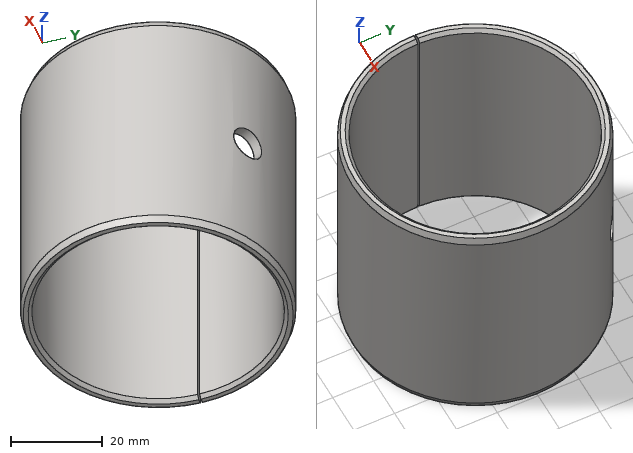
import cadquery as cq
import math

outer_diameter = 60.0
length = 60.0
wall = 2.5
inner_diameter = outer_diameter - 2 * wall

outer_chamfer_depth = 0.6
outer_chamfer_length = 1.7
inner_chamfer = 0.85

slit_width = 0.5
slit_offset = 0.3

oil_hole_diameter = 8.0
oil_hole_angle = 59.0

outer_radius = outer_diameter / 2
inner_radius = inner_diameter / 2
half_length = length / 2


def make_sleeve():
    """Revolve the wall section, chamfered at both ends, about Z."""
    section = [
        (inner_radius, -half_length + inner_chamfer),
        (inner_radius + inner_chamfer, -half_length),
        (outer_radius - outer_chamfer_depth, -half_length),
        (outer_radius, -half_length + outer_chamfer_length),
        (outer_radius, half_length - outer_chamfer_length),
        (outer_radius - outer_chamfer_depth, half_length),
        (inner_radius + inner_chamfer, half_length),
        (inner_radius, half_length - inner_chamfer),
    ]
    return cq.Workplane("XZ").polyline(section).close().revolve(360, (0, 0), (0, 1))


def make_slit():
    """Full-length cutter through the -X wall only."""
    return cq.Workplane("XY").box(outer_diameter, slit_width, length).translate(
        (-outer_radius, slit_offset, 0)
    )


def make_oil_hole():
    """Radial cutter at mid-length, from the axis out through one wall."""
    angle = math.radians(oil_hole_angle)
    direction = cq.Vector(math.cos(angle), math.sin(angle), 0)
    cutter = cq.Solid.makeCylinder(
        oil_hole_diameter / 2, outer_diameter, cq.Vector(0, 0, 0), direction
    )
    return cq.Workplane(cutter)


result = make_sleeve().cut(make_slit()).cut(make_oil_hole())